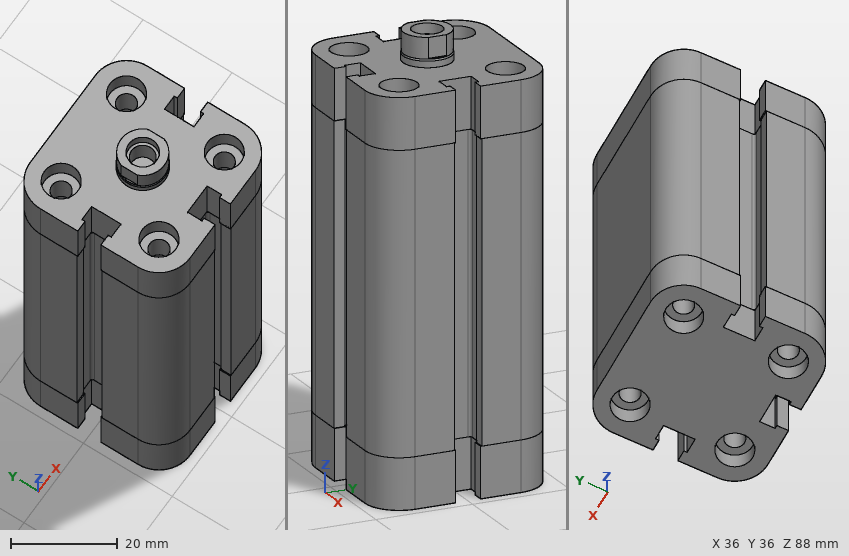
import cadquery as cq

total_height = 88.0
side = 36.0
corner_radius = 7.0
cover_height = 10.5
rod_projection = 6.0

bolt_spacing = 22.0
bolt_diameter = 4.1
counterbore_diameter = 7.5
counterbore_depth = 4.05

slot_width = 6.6
slot_depth = 5.7
cover_slot_mouth = 5.2
cover_slot_lip = 2.5
barrel_slot_mouth = 5.6
barrel_slot_lip = 2.3
barrel_slot_floor_radius = 0.6

rod_diameter = 10.0
tip_diameter = 9.8
tip_length = 4.3
shoulder_length = 0.35
rod_flats = 9.1
flat_height = 4.1
thread_diameter = 5.0
thread_depth = 7.0
thread_relief_diameter = 6.25
thread_relief_depth = 2.1

body_height = total_height - rod_projection
barrel_height = body_height - 2 * cover_height
upper_cover_z = body_height - cover_height


def t_slot(height, mouth, lip, floor_radius=0):
    """T-slot cutter running up the -Y side, with its floor corners rounded if asked."""
    face_y = -side / 2
    floor_y = face_y + slot_depth
    lip_y = face_y + lip
    cutter = (
        cq.Workplane("XY")
        .moveTo(-mouth / 2, face_y)
        .lineTo(-mouth / 2, lip_y)
        .lineTo(-slot_width / 2, lip_y)
        .lineTo(-slot_width / 2, floor_y)
        .lineTo(slot_width / 2, floor_y)
        .lineTo(slot_width / 2, lip_y)
        .lineTo(mouth / 2, lip_y)
        .lineTo(mouth / 2, face_y)
        .close()
        .extrude(height)
    )
    if floor_radius > 0:
        cutter = cutter.faces(">Y").edges("|Z").fillet(floor_radius)
    return cutter


def slotted_block(height, mouth, lip, floor_radius=0):
    """Rounded square block with T-slots on -Y, +X and -X, and four through holes."""
    block = (
        cq.Workplane("XY")
        .rect(side, side)
        .extrude(height)
        .edges("|Z")
        .fillet(corner_radius)
    )
    for angle in (-90, 0, 90):
        cutter = t_slot(height, mouth, lip, floor_radius)
        block = block.cut(cutter.rotate((0, 0, 0), (0, 0, 1), angle))
    return (
        block.faces(">Z")
        .workplane(origin=(0, 0, height))
        .rect(bolt_spacing, bolt_spacing, forConstruction=True)
        .vertices()
        .hole(bolt_diameter)
    )


def make_cover():
    """End cover with its counterbored outer face at the top."""
    block = slotted_block(cover_height, cover_slot_mouth, cover_slot_lip)
    counterbores = (
        cq.Workplane("XY", origin=(0, 0, cover_height - counterbore_depth))
        .rect(bolt_spacing, bolt_spacing, forConstruction=True)
        .vertices()
        .circle(counterbore_diameter / 2)
        .extrude(counterbore_depth)
    )
    return block.cut(counterbores)


def make_lower_cover():
    """Same cover turned over, outer face on the ground plane."""
    return make_cover().mirror("XY").translate((0, 0, cover_height))


def make_upper_cover():
    """Cover with a bore through which the rod passes."""
    bore = cq.Workplane("XY").circle(rod_diameter / 2).extrude(cover_height)
    return make_cover().cut(bore).translate((0, 0, upper_cover_z))


def make_barrel():
    """Profile between the two covers."""
    barrel = slotted_block(barrel_height, barrel_slot_mouth, barrel_slot_lip, barrel_slot_floor_radius)
    return barrel.translate((0, 0, cover_height))


def rod_tip_hole(diameter, depth):
    """Blind round cutter going down from the rod tip."""
    return cq.Workplane("XY", origin=(0, 0, total_height)).circle(diameter / 2).extrude(-depth)


def make_rod():
    """Rod standing on the barrel, with a reduced tip, two wrench flats and a stepped blind hole."""
    shoulder_top_z = total_height - tip_length
    rod = (
        cq.Workplane("XZ")
        .moveTo(0, upper_cover_z)
        .lineTo(rod_diameter / 2, upper_cover_z)
        .lineTo(rod_diameter / 2, shoulder_top_z - shoulder_length)
        .lineTo(tip_diameter / 2, shoulder_top_z)
        .lineTo(tip_diameter / 2, total_height)
        .lineTo(0, total_height)
        .close()
        .revolve(360, (0, 0, 0), (0, 1, 0))
    )

    flat_stock = cq.Workplane("XY", origin=(0, 0, total_height - flat_height))
    flatted = flat_stock.rect(rod_flats, 2 * rod_diameter).extrude(flat_height)
    flat_cutter = flat_stock.circle(rod_diameter).extrude(flat_height).cut(flatted)

    thread_hole = rod_tip_hole(thread_diameter, thread_depth)
    thread_relief = rod_tip_hole(thread_relief_diameter, thread_relief_depth)
    return rod.cut(flat_cutter).cut(thread_hole).cut(thread_relief)


lower_cover = make_lower_cover()
barrel = make_barrel()
upper_cover = make_upper_cover()
rod = make_rod()

result = cq.Compound.makeCompound([lower_cover.val(), barrel.val(), upper_cover.val(), rod.val()])